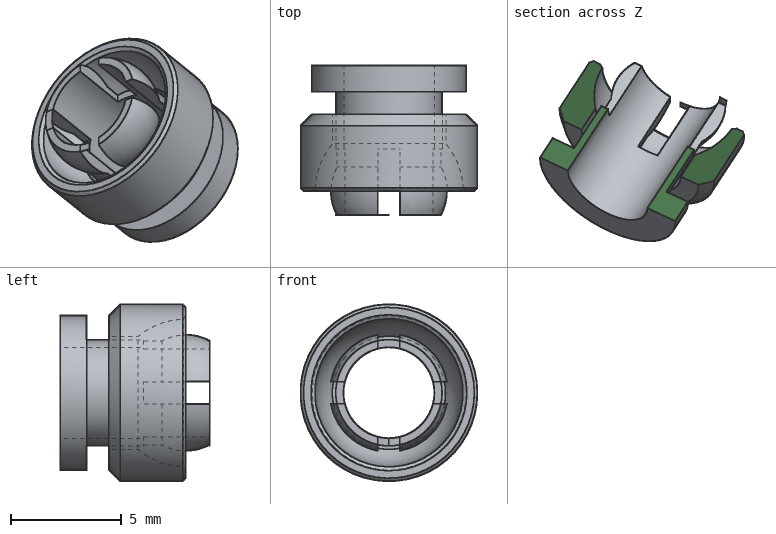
import cadquery as cq
import math


shaft_length = 6.76
bore_radius = 4.1 / 2
neck_radius = 4.8 / 2
flange_radius = 7.0 / 2
flange_thickness = 1.2
ball_radius = 2.67
slot_width = 1.0
slot_depth = 3.0
web_thickness = 0.01

collar_radius = 8 / 2
collar_front = 1.09
collar_back = 4.56
collar_hole_radius = 5.11 / 2
front_chamfer = 0.14
back_chamfer = 0.52
mouth_radius = 3.52
mouth_chamfer_width = 0.18
mouth_chamfer_depth = 0.12

ball_center = collar_front
ball_end = 2 * ball_center

socket_start_radius = mouth_radius - mouth_chamfer_width
socket_start = collar_front + mouth_chamfer_depth
socket_radius = math.hypot(socket_start_radius, mouth_chamfer_depth)
socket_end = collar_front + math.sqrt(socket_radius**2 - collar_hole_radius**2)
socket_mid_angle = math.radians(25)
socket_mid = (
    socket_radius * math.cos(socket_mid_angle),
    collar_front + socket_radius * math.sin(socket_mid_angle),
)


def revolve_about_y(profile):
    return profile.close().revolve(360, (0, 0, 0), (0, 1, 0))


def make_slot_cutter(angle):
    """Full-width slot across the ball end, turned about the Y axis."""
    cutter = cq.Workplane("XY").box(
        2 * flange_radius, slot_depth, slot_width, centered=(True, False, True)
    )
    return cutter.rotate((0, 0, 0), (0, 1, 0), angle)


def make_tip_web():
    """Thin skin at the tips, closing the -X slot and the -X half of the -Z slot."""
    ring = revolve_about_y(
        cq.Workplane("XY")
        .moveTo(bore_radius, 0)
        .lineTo(neck_radius, 0)
        .lineTo(neck_radius, web_thickness)
        .lineTo(bore_radius, web_thickness)
    )
    web_sector = (
        cq.Workplane("XY")
        .box(flange_radius, web_thickness, flange_radius + slot_width / 2, centered=False)
        .translate((-flange_radius, 0, -flange_radius))
    )
    return ring.intersect(web_sector)


def make_shaft():
    flange_front = shaft_length - flange_thickness
    profile = (
        cq.Workplane("XY")
        .moveTo(bore_radius, 0)
        .lineTo(neck_radius, 0)
        .threePointArc((ball_radius, ball_center), (neck_radius, ball_end))
        .lineTo(neck_radius, flange_front)
        .lineTo(flange_radius, flange_front)
        .lineTo(flange_radius, shaft_length)
        .lineTo(bore_radius, shaft_length)
    )
    shaft = revolve_about_y(profile)
    for angle in (0, 90):
        shaft = shaft.cut(make_slot_cutter(angle))
    return shaft.union(make_tip_web())


def make_collar():
    profile = (
        cq.Workplane("XY")
        .moveTo(mouth_radius, collar_front)
        .lineTo(collar_radius - front_chamfer, collar_front)
        .lineTo(collar_radius, collar_front + front_chamfer)
        .lineTo(collar_radius, collar_back - back_chamfer)
        .lineTo(collar_radius - back_chamfer, collar_back)
        .lineTo(collar_hole_radius, collar_back)
        .lineTo(collar_hole_radius, socket_end)
        .threePointArc(socket_mid, (socket_start_radius, socket_start))
    )
    return revolve_about_y(profile)


shaft = make_shaft()
collar = make_collar()
result = cq.Compound.makeCompound([shaft.val(), collar.val()])